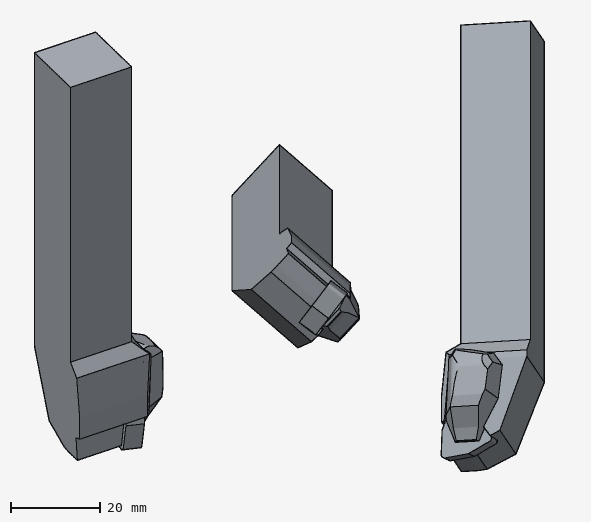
import cadquery as cq
import math

total_height = 101.4
shank_width = 15.9
shoulder_z = 26.6
head_top_z = 22.9
flank_start_z = 21.4
head_depth = 19.9
head_foot_depth = 17.8
seat_floor_z = 1.6
head_side_x = 20.0
head_corner_y = 17.6

edge_count = 6
insert_radius = 4.8
insert_thickness = 4.7
insert_nose_radius = 0.8
insert_corner_half_angle = 40.0
insert_flank_half_angle = 80.0
insert_center = (15.3, 17.1, 5.1)
insert_nose_angle = -45.0
rake_x = 0.1
rake_z = 0.16
relief_height = 8.1

clamp_base_y = 17.2
clamp_top_y = 24.5
clamp_crest_z = 18.3
clamp_toe_z = 3.0
clamp_draft = 22.0
clamp_side_radius = 2.5
clamp_left_chamfer = 1.4


def make_head_and_shank():
    """Intersection of the XZ outline with the YZ side profile."""
    outline = (
        cq.Workplane("XZ")
        .moveTo(0, total_height)
        .lineTo(shank_width, total_height)
        .lineTo(shank_width, shoulder_z)
        .lineTo(18.6, 23.8)
        .lineTo(head_side_x, 13.8)
        .lineTo(head_side_x, 8.0)
        .lineTo(18.3, 7.4)
        .lineTo(19.0, seat_floor_z)
        .lineTo(15.0, seat_floor_z)
        .lineTo(13.1, 1.8)
        .lineTo(6.5, 5.0)
        .lineTo(0, flank_start_z)
        .close()
        .extrude(-head_depth)
    )
    side_profile = (
        cq.Workplane("YZ")
        .moveTo(0, total_height)
        .lineTo(shank_width, total_height)
        .lineTo(shank_width, shoulder_z)
        .lineTo(head_depth, head_top_z)
        .lineTo(head_depth, flank_start_z)
        .lineTo(head_foot_depth, seat_floor_z)
        .lineTo(0, seat_floor_z)
        .close()
        .extrude(head_side_x)
    )
    return outline.intersect(side_profile)


def make_corner_relief():
    """Upright wedge that bevels the +X, +Y corner of the head at 45 degrees."""
    width = head_depth - head_corner_y
    return (
        cq.Workplane("XY")
        .moveTo(head_side_x, head_corner_y)
        .lineTo(head_side_x, head_depth)
        .lineTo(head_side_x - width, head_depth)
        .close()
        .extrude(shoulder_z)
    )


def make_clamp():
    """Drafted boss, with a crowned back and a front sloping down to the insert."""
    plan = (
        cq.Workplane("XZ", origin=(0, clamp_base_y, 0))
        .polyline([
            (6.1, 12.0),
            (4.6, 20.0),
            (6.9, 23.6),
            (16.7, 25.3),
            (18.9, 22.3),
            (19.3, 9.1),
            (16.7, 2.7),
            (11.7, 2.7),
        ])
        .close()
    )
    boss = plan.extrude(-(clamp_top_y - clamp_base_y), taper=clamp_draft)
    right_crest = boss.faces(">Y").edges(">X")
    boss = right_crest.fillet(clamp_side_radius)
    left_crest = boss.faces(">Y").edges("<X")
    boss = left_crest.chamfer(clamp_left_chamfer)
    profile = (
        cq.Workplane("YZ")
        .moveTo(clamp_base_y, 24.3)
        .lineTo(18.5, 24.2)
        .threePointArc((22.6, 22.7), (clamp_top_y, clamp_crest_z))
        .lineTo(23.9, 11.9)
        .lineTo(23.2, 9.5)
        .lineTo(19.7, 5.6)
        .lineTo(18.1, clamp_toe_z)
        .lineTo(clamp_base_y, clamp_toe_z)
        .close()
        .extrude(head_side_x)
    )
    return boss.intersect(profile)


def make_trigon(start, height):
    """Trigon prism on the raked insert face, from start to start + height along its normal."""
    rake_plane = cq.Plane(
        origin=insert_center, xDir=(1, -rake_x, 0), normal=(rake_x, 1, -rake_z)
    )
    corner_distance = insert_radius / math.sin(math.radians(insert_corner_half_angle))
    flank_distance = insert_radius / math.sin(math.radians(insert_flank_half_angle))
    points = []
    for index in range(edge_count):
        distance = corner_distance if index % 2 == 0 else flank_distance
        angle = math.radians(-insert_nose_angle + 360 / edge_count * index)
        points.append((distance * math.cos(angle), distance * math.sin(angle)))
    face = cq.Workplane(rake_plane).workplane(offset=start)
    prism = face.polyline(points).close().extrude(height)
    for index in range(0, edge_count, 2):
        corner = cq.Vector(*points[index], start + height / 2)
        corner_position = rake_plane.toWorldCoords(corner).toTuple()
        corner_edge = cq.selectors.NearestToPointSelector(corner_position)
        prism = prism.edges(corner_edge).fillet(insert_nose_radius)
    return prism


insert = make_trigon(-insert_thickness, insert_thickness)
relief = make_trigon(-insert_thickness, insert_thickness + relief_height)
holder = make_head_and_shank().cut(make_corner_relief()).cut(relief)
holder = holder.union(make_clamp().cut(insert))

result = cq.Compound.makeCompound([holder.solids().val(), insert.solids().val()])